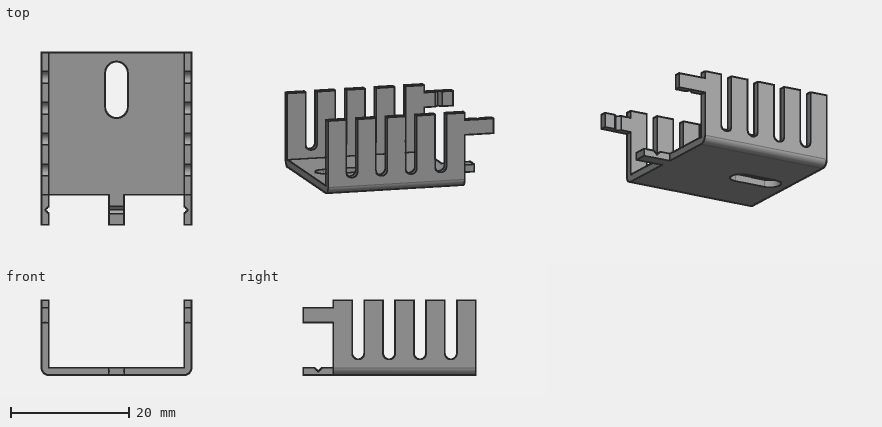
import cadquery as cq

width = 25.4
height = 12.7
thickness = 1.27
body_length = 24.13
bend_radius = thickness

tab_length = 5.08
tab_width = 2.54
tab_drop = 1.27
notch_depth = thickness / 2

slot_count = 4
slot_width = 2.0
slot_floor = 2.7
fin_width = (body_length - slot_count * slot_width) / (slot_count + 1)
slot_pitch = fin_width + slot_width

hole_width = 3.81
hole_length = 9.525
hole_edge_gap = 1.59

inner_x = width / 2 - thickness
front_y = 0
rear_y = front_y + body_length
tab_center_y = front_y - tab_length / 2


def box(size, low_corner):
    """Box with its lowest X, Y and Z corner at low_corner."""
    return cq.Workplane("XY").box(*size, centered=False).translate(low_corner)


def make_channel():
    """U channel with rounded outer bends and sharp inner corners."""
    outer = box((width, body_length, height), (-width / 2, front_y, 0))
    outer = outer.edges("|Y and <Z").fillet(bend_radius)
    inner = box(
        (2 * inner_x, body_length, height - thickness),
        (-inner_x, front_y, thickness),
    )
    return outer.cut(inner)


def make_cooling_slot(center_y):
    """Round-bottomed slot cutter, open at the top and passing through both walls."""
    radius = slot_width / 2
    return (
        cq.Workplane("YZ", origin=(-width / 2, 0, 0))
        .moveTo(center_y - radius, height)
        .lineTo(center_y - radius, slot_floor + radius)
        .threePointArc((center_y, slot_floor), (center_y + radius, slot_floor + radius))
        .lineTo(center_y + radius, height)
        .close()
        .extrude(width)
    )


def make_mounting_hole():
    """Obround cutter with its long axis along Y."""
    center_y = rear_y - hole_edge_gap - hole_length / 2
    return (
        cq.Workplane("XY")
        .center(0, center_y)
        .slot2D(hole_length, hole_width, angle=90)
        .extrude(thickness)
    )


def make_base_tab():
    """Tab continuing the base forward, notched across its upper face."""
    notched_profile = [
        (front_y, 0),
        (front_y, thickness),
        (tab_center_y + notch_depth, thickness),
        (tab_center_y, thickness - notch_depth),
        (tab_center_y - notch_depth, thickness),
        (front_y - tab_length, thickness),
        (front_y - tab_length, 0),
    ]
    return (
        cq.Workplane("YZ", origin=(-tab_width / 2, 0, 0))
        .polyline(notched_profile)
        .close()
        .extrude(tab_width)
    )


def make_wall_tab(side):
    """Tab continuing one wall forward, notched on its inner face; side is -1 or +1."""
    outer_x = side * width / 2
    inner_face_x = side * inner_x
    notch_x = side * (inner_x + notch_depth)
    notched_profile = [
        (outer_x, front_y),
        (inner_face_x, front_y),
        (inner_face_x, tab_center_y + notch_depth),
        (notch_x, tab_center_y),
        (inner_face_x, tab_center_y - notch_depth),
        (inner_face_x, front_y - tab_length),
        (outer_x, front_y - tab_length),
    ]
    tab_bottom = height - tab_drop - tab_width
    return (
        cq.Workplane("XY", origin=(0, 0, tab_bottom))
        .polyline(notched_profile)
        .close()
        .extrude(tab_width)
    )


result = make_channel().cut(make_mounting_hole())
for index in range(slot_count):
    slot_center_y = front_y + fin_width + slot_width / 2 + index * slot_pitch
    result = result.cut(make_cooling_slot(slot_center_y))

result = result.union(make_base_tab())
for wall_side in (-1, 1):
    result = result.union(make_wall_tab(wall_side))